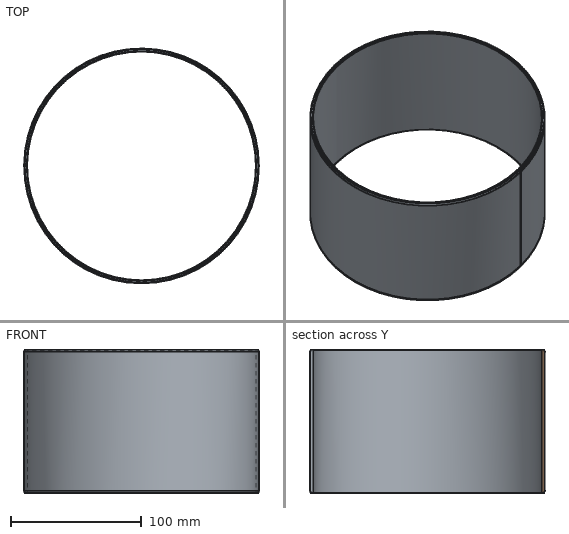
import cadquery as cq

outer_diameter = 180.0
height = 110.0
wall = 2.5
outer_bevel_width = 0.65
outer_bevel_height = 1.8
inner_bevel = 0.5
slit_width = 1.5

outer_radius = outer_diameter / 2
inner_radius = outer_radius - wall
half_height = height / 2


def make_sleeve():
    """Revolve the wall section, bevelled inside and outside at both ends, about Z."""
    rim_outer_radius = outer_radius - outer_bevel_width
    rim_inner_radius = inner_radius + inner_bevel
    outer_bevel_start = half_height - outer_bevel_height
    inner_bevel_start = half_height - inner_bevel
    section = [
        (inner_radius, -inner_bevel_start),
        (rim_inner_radius, -half_height),
        (rim_outer_radius, -half_height),
        (outer_radius, -outer_bevel_start),
        (outer_radius, outer_bevel_start),
        (rim_outer_radius, half_height),
        (rim_inner_radius, half_height),
        (inner_radius, inner_bevel_start),
    ]
    return cq.Workplane("XZ").polyline(section).close().revolve(360, (0, 0), (0, 1))


def make_slit_cutter():
    """Full-height slit through the -X wall, with one face on the Y = 0 plane."""
    cutter = cq.Workplane("XY").box(outer_radius, slit_width, height, centered=(True, False, True))
    return cutter.translate((-outer_radius, 0, 0))


result = make_sleeve().cut(make_slit_cutter())